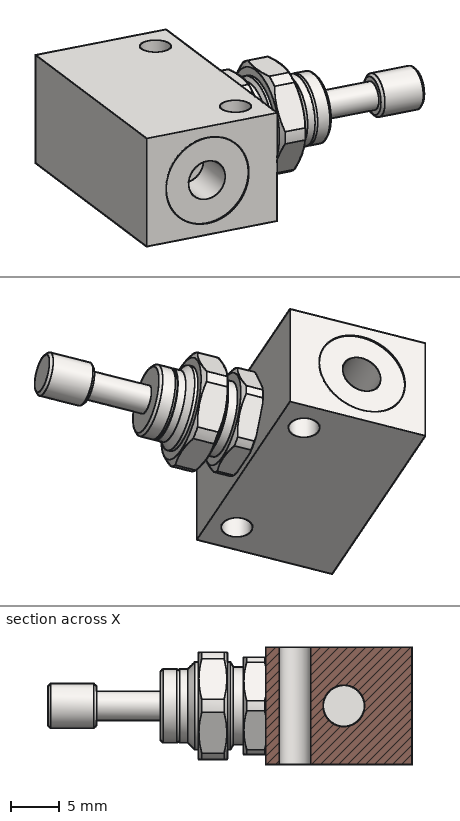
import cadquery as cq
import math

BODY_WIDTH = 25.0
BODY_DEPTH = 15.0
BODY_HEIGHT = 12.0

MOUNT_HOLE_DIAMETER = 3.2
MOUNT_HOLE_SPACING = 18.0
MOUNT_HOLE_Y = 12.0

PORT_Y = 7.0
PORT_DIAMETER = 4.2
PORT_DEPTH = 5.0
SPOT_FACE_DIAMETER = 9.5
SPOT_FACE_DEPTH = 0.15

HEX_CHAMFER_ANGLE = 30.0
HEX_CHAMFER_HEIGHT = 0.36
BASE_HEX_FLATS = 10.0
BASE_HEX_CORNERS = 11.0
BASE_HEX_BOTTOM = -0.25
BASE_HEX_TOP = 2.3
BASE_HEX_HEIGHT = BASE_HEX_TOP - BASE_HEX_BOTTOM
LOCK_NUT_FLATS = 11.0
LOCK_NUT_CORNERS = 12.0
LOCK_NUT_BOTTOM = 3.9
LOCK_NUT_HEIGHT = 3.0

NECK_RADIUS = 4.0
THREAD_RADIUS = 4.5
NECK_CONE_HEIGHT = 0.3
COLLAR_RADIUS = 3.8
GROOVE_RADIUS = 3.6
THREAD_BOTTOM = 3.6
THREAD_TOP = 7.25
NECK_TOP = THREAD_BOTTOM - NECK_CONE_HEIGHT
COLLAR_BOTTOM = THREAD_TOP + THREAD_RADIUS - COLLAR_RADIUS
GROOVE_BOTTOM = 8.8
GROOVE_TOP = 9.1
SLEEVE_TOP = 10.8
SLEEVE_CHAMFER = 0.3

STEM_RADIUS = 1.5
KNOB_RADIUS = 2.3
KNOB_LENGTH = 5.0
KNOB_TOP = 22.3
KNOB_BOTTOM = KNOB_TOP - KNOB_LENGTH
KNOB_CHAMFER = 0.3


def make_body():
    body = cq.Workplane("XY").box(BODY_WIDTH, BODY_DEPTH, BODY_HEIGHT)
    body = body.translate((0, BODY_DEPTH / 2, 0))
    mount_holes = (
        cq.Workplane("XY", origin=(0, MOUNT_HOLE_Y, -BODY_HEIGHT / 2))
        .rarray(MOUNT_HOLE_SPACING, 1, 2, 1)
        .circle(MOUNT_HOLE_DIAMETER / 2)
        .extrude(BODY_HEIGHT)
    )
    left_port = make_left_port()
    return body.cut(mount_holes).cut(left_port).cut(left_port.mirror("YZ"))


def make_left_port():
    face = cq.Workplane("YZ", origin=(-BODY_WIDTH / 2, PORT_Y, 0))
    bore = face.circle(PORT_DIAMETER / 2).extrude(PORT_DEPTH)
    spot_face = face.circle(SPOT_FACE_DIAMETER / 2).extrude(SPOT_FACE_DEPTH)
    return bore.union(spot_face)


def revolve_profile(points):
    """Turn a closed (radius, height) outline about the spindle axis."""
    return (
        cq.Workplane("XY", origin=(0, BODY_DEPTH, 0))
        .polyline(points)
        .close()
        .revolve(360, (0, 0, 0), (0, 1, 0))
    )


def make_hexagon(flats, corners, bottom, height):
    """Hexagon along Y with two flats facing +/-Z and turned, chamfered corners."""
    prism = (
        cq.Workplane("XZ", origin=(0, BODY_DEPTH + bottom, 0))
        .polygon(6, flats / math.cos(math.pi / 6))
        .extrude(-height)
    )
    outer = corners / 2
    inner = outer - HEX_CHAMFER_HEIGHT / math.tan(math.radians(HEX_CHAMFER_ANGLE))
    top = bottom + height
    envelope = revolve_profile([
        (0, bottom),
        (inner, bottom),
        (outer, bottom + HEX_CHAMFER_HEIGHT),
        (outer, top - HEX_CHAMFER_HEIGHT),
        (inner, top),
        (0, top),
    ])
    return prism.intersect(envelope)


def make_spindle():
    """Sleeve, stem and knob, turned as one piece."""
    return revolve_profile([
        (0, 0),
        (NECK_RADIUS, 0),
        (NECK_RADIUS, NECK_TOP),
        (THREAD_RADIUS, THREAD_BOTTOM),
        (THREAD_RADIUS, THREAD_TOP),
        (COLLAR_RADIUS, COLLAR_BOTTOM),
        (COLLAR_RADIUS, GROOVE_BOTTOM),
        (GROOVE_RADIUS, GROOVE_BOTTOM),
        (COLLAR_RADIUS, GROOVE_TOP),
        (COLLAR_RADIUS, SLEEVE_TOP - SLEEVE_CHAMFER),
        (COLLAR_RADIUS - SLEEVE_CHAMFER, SLEEVE_TOP),
        (STEM_RADIUS, SLEEVE_TOP),
        (STEM_RADIUS, KNOB_BOTTOM),
        (KNOB_RADIUS - KNOB_CHAMFER, KNOB_BOTTOM),
        (KNOB_RADIUS, KNOB_BOTTOM + KNOB_CHAMFER),
        (KNOB_RADIUS, KNOB_TOP - KNOB_CHAMFER),
        (KNOB_RADIUS - KNOB_CHAMFER, KNOB_TOP),
        (0, KNOB_TOP),
    ])


base_hex = make_hexagon(BASE_HEX_FLATS, BASE_HEX_CORNERS, BASE_HEX_BOTTOM, BASE_HEX_HEIGHT)
lock_nut = make_hexagon(LOCK_NUT_FLATS, LOCK_NUT_CORNERS, LOCK_NUT_BOTTOM, LOCK_NUT_HEIGHT)
result = make_body().union(base_hex).union(make_spindle()).union(lock_nut)